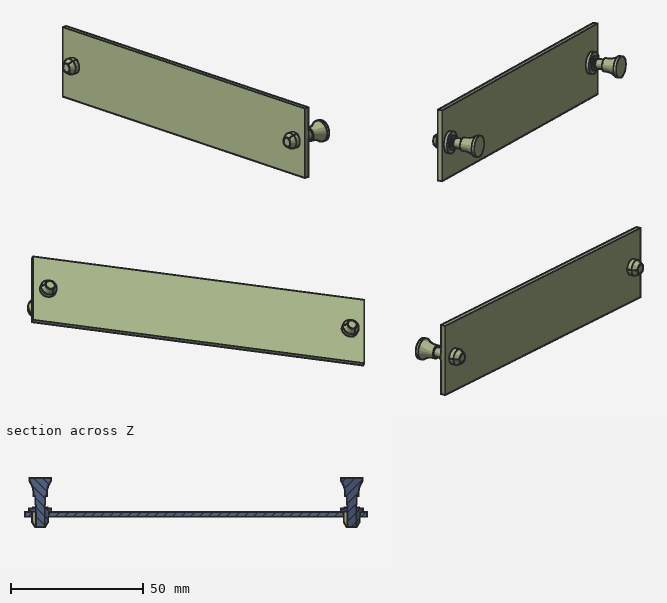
import cadquery as cq
import math

panel_length = 129.5
panel_height = 28.0
panel_thickness = 2.0

fastener_spacing = 118.0
fastener_positions = [-fastener_spacing / 2, fastener_spacing / 2]

sleeve_radius = 3.1
sleeve_straight = 2.0
nose_length = 2.0
nose_tip_radius = 2.0
flange_radius = 4.3
flange_thickness = 1.3
collar_radius = 2.8
collar_thickness = 0.4
slit_width = 0.1
slit_angles = [60, 180, 300]

pin_radius = 1.7
neck_length = 0.6
shank_chamfer = 0.5
shank_radius = 2.0
shank_length = 3.6
knob_band_radius = 2.6
knob_band_length = 1.2
knob_rim_radius = 4.1
knob_rim_length = 1.2
overall_depth = 18.7

nose_start = -sleeve_straight
nose_tip = nose_start - nose_length
panel_back = panel_thickness
flange_back = panel_back + flange_thickness
collar_back = flange_back + collar_thickness
shank_start = collar_back + neck_length
knob_start = shank_start + shank_length
flare_start = knob_start + knob_band_length
knob_end = nose_tip + overall_depth
flare_end = knob_end - knob_rim_length


def revolve_about_y(profile):
    """Turn a closed (Y, radius) profile all the way round the Y axis."""
    return profile.close().revolve(360, (0, 0, 0), (1, 0, 0))


def make_panel():
    plate = cq.Workplane("XY").box(panel_length, panel_thickness, panel_height)
    plate = plate.translate((0, panel_thickness / 2, 0))
    holes = (
        cq.Workplane("XZ")
        .pushPoints([(x, 0) for x in fastener_positions])
        .circle(sleeve_radius)
        .extrude(-panel_thickness)
    )
    return plate.cut(holes)


def make_slit(angle):
    """Radial cutter through one side of the sleeve, from nose tip to flange."""
    slit_length = panel_back - nose_tip
    slit = cq.Workplane("XY").box(
        sleeve_radius, slit_length, slit_width, centered=(False, False, True)
    )
    slit = slit.translate((0, nose_tip, 0))
    return slit.rotate((0, 0, 0), (0, 1, 0), -angle)


def make_grommet():
    grommet = revolve_about_y(
        cq.Workplane("YZ")
        .moveTo(nose_tip, pin_radius)
        .lineTo(nose_tip, nose_tip_radius)
        .lineTo(nose_start, sleeve_radius)
        .lineTo(panel_back, sleeve_radius)
        .lineTo(panel_back, flange_radius)
        .lineTo(flange_back, flange_radius)
        .lineTo(flange_back, collar_radius)
        .lineTo(collar_back, collar_radius)
        .lineTo(collar_back, pin_radius)
    )
    for angle in slit_angles:
        grommet = grommet.cut(make_slit(angle))
    return grommet


def flare_midpoint():
    """Middle of the hollow flare arc, which leaves the knob band tangentially."""
    rise = flare_end - flare_start
    spread = knob_rim_radius - knob_band_radius
    arc_radius = (rise**2 + spread**2) / (2 * spread)
    half_sweep = math.asin(rise / arc_radius) / 2
    return (
        flare_start + arc_radius * math.sin(half_sweep),
        knob_band_radius + arc_radius * (1 - math.cos(half_sweep)),
    )


def make_plunger():
    return revolve_about_y(
        cq.Workplane("YZ")
        .moveTo(nose_tip, 0)
        .lineTo(nose_tip, pin_radius)
        .lineTo(shank_start, pin_radius)
        .lineTo(shank_start + shank_chamfer, shank_radius)
        .lineTo(knob_start, shank_radius)
        .lineTo(knob_start, knob_band_radius)
        .lineTo(flare_start, knob_band_radius)
        .threePointArc(flare_midpoint(), (flare_end, knob_rim_radius))
        .lineTo(knob_end, knob_rim_radius)
        .lineTo(knob_end, 0)
    )


panel = make_panel()
grommets = [make_grommet().translate((x, 0, 0)) for x in fastener_positions]
plungers = [make_plunger().translate((x, 0, 0)) for x in fastener_positions]

result = cq.Compound.makeCompound(
    [panel.val()]
    + [grommet.val() for grommet in grommets]
    + [plunger.val() for plunger in plungers]
)